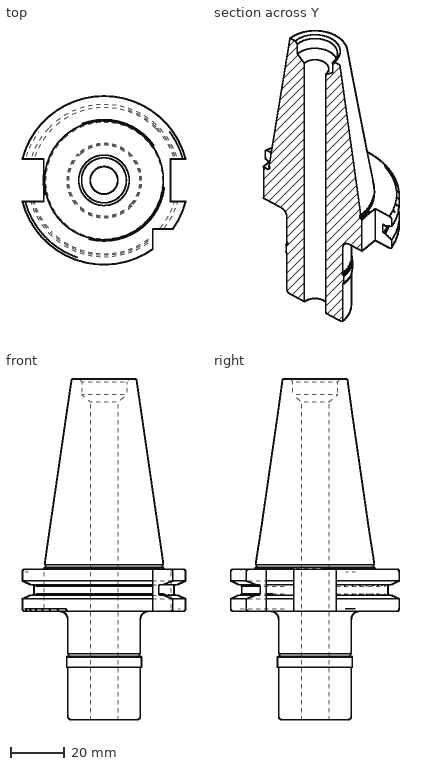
import cadquery as cq
total_length = 128.4
top_z = 68.5
bottom_z = top_z - total_length

gauge_radius = 22.2
taper_slope = 7 / 48
tip_fillet = 0.8
taper_end_z = -1.0
neck_groove_z = -2.0
neck_groove_width = 1.0
neck_groove_depth = 0.4
neck_fillet = 0.5

flange_radius = 63.5 / 2
flange_top_z = -3.2
flange_thickness = 15.9
flange_bottom_z = flange_top_z - flange_thickness
flange_fillet = 1.0
gripper_groove_z = -11.0
groove_mouth_width = 6.8
groove_floor_width = 3.9
groove_wall_radius = 28.8
groove_floor_radius = 27.6
groove_corner_radius = 0.5

slot_width = 15.9
left_slot_x = -22.7
right_slot_x = 25.0
notch_offset = 18.4

shank_radius = 13.7
shank_top_fillet = 3.0
shank_end_fillet = 1.4
collar_radius = 14.1
collar_top_z = -36.0
collar_height = 4.2
collar_chamfer = 0.4
collar_groove_width = 0.9
collar_groove_depth = 0.4

bore_chamfer = 1.0
bore_radius = 8.5
entry_depth = 5.9
seat_radius = 6.9
seat_depth = 7.2
hole_depth = 8.7
hole_radius = 5.1


def revolve(outline):
    """Turn a half section, drawn as (radius, z), about the Z axis."""
    return outline.close().revolve(360, (0, 0), (0, 1))


def polygon(points):
    return cq.Workplane("XZ").polyline(points)


def cylinder(radius, z_low, z_high):
    return cq.Workplane("XY", origin=(0, 0, z_low)).circle(radius).extrude(z_high - z_low)


def ring(outer_radius, inner_radius, z_low, z_high):
    return cylinder(outer_radius, z_low, z_high).cut(cylinder(inner_radius, z_low, z_high))


def flange_block(x_low, x_high, y_low, y_high):
    """Cutting block as tall as the flange."""
    size = (x_high - x_low, y_high - y_low, flange_thickness)
    return cq.Workplane("XY", origin=(x_low, y_low, flange_bottom_z)).box(*size, centered=False)


def make_taper():
    neck_radius = gauge_radius - taper_end_z * taper_slope
    tip_radius = gauge_radius - top_z * taper_slope
    taper = revolve(
        polygon([
            (0, top_z),
            (tip_radius, top_z),
            (neck_radius, taper_end_z),
            (neck_radius, flange_top_z + neck_fillet),
        ])
        .radiusArc((neck_radius + neck_fillet, flange_top_z), -neck_fillet)
        .lineTo(0, flange_top_z)
    )
    neck_groove = ring(
        neck_radius,
        neck_radius - neck_groove_depth,
        neck_groove_z - neck_groove_width / 2,
        neck_groove_z + neck_groove_width / 2,
    )
    return taper.faces(">Z").edges().fillet(tip_fillet).cut(neck_groove)


def make_gripper_groove():
    mouth = groove_mouth_width / 2
    floor = groove_floor_width / 2
    corner = groove_corner_radius
    return revolve(
        cq.Workplane("XZ", origin=(0, 0, gripper_groove_z))
        .moveTo(flange_radius, -mouth)
        .lineTo(groove_wall_radius, -floor)
        .lineTo(groove_floor_radius + corner, -floor)
        .radiusArc((groove_floor_radius, -floor + corner), corner)
        .lineTo(groove_floor_radius, floor - corner)
        .radiusArc((groove_floor_radius + corner, floor), corner)
        .lineTo(groove_wall_radius, floor)
        .lineTo(flange_radius, mouth)
    )


def make_flange():
    half_slot = slot_width / 2
    disc = cylinder(flange_radius, flange_bottom_z, flange_top_z).edges().fillet(flange_fillet)
    return (
        disc.cut(make_gripper_groove())
        .cut(flange_block(-flange_radius, left_slot_x, -half_slot, half_slot))
        .cut(flange_block(right_slot_x, flange_radius, -half_slot, half_slot))
        .cut(flange_block(notch_offset, flange_radius, -flange_radius, -notch_offset))
    )


def make_shank():
    fillet_end_z = flange_bottom_z - shank_top_fillet
    shank = revolve(
        polygon([(0, flange_bottom_z), (shank_radius + shank_top_fillet, flange_bottom_z)])
        .radiusArc((shank_radius, fillet_end_z), -shank_top_fillet)
        .lineTo(shank_radius, bottom_z)
        .lineTo(0, bottom_z)
    )
    shank = shank.faces("<Z").edges().fillet(shank_end_fillet)
    collar = cylinder(collar_radius, collar_top_z - collar_height, collar_top_z)
    collar = collar.faces(">Z").edges().chamfer(collar_chamfer)
    collar_groove = ring(
        shank_radius,
        shank_radius - collar_groove_depth,
        collar_top_z,
        collar_top_z + collar_groove_width,
    )
    return shank.cut(collar_groove).union(collar)


def make_bore():
    return revolve(polygon([
        (0, top_z),
        (bore_radius + bore_chamfer, top_z),
        (bore_radius, top_z - bore_chamfer),
        (bore_radius, top_z - entry_depth),
        (seat_radius, top_z - seat_depth),
        (hole_radius, top_z - hole_depth),
        (hole_radius, bottom_z),
        (0, bottom_z),
    ]))


result = make_taper().union(make_flange()).union(make_shank()).cut(make_bore())